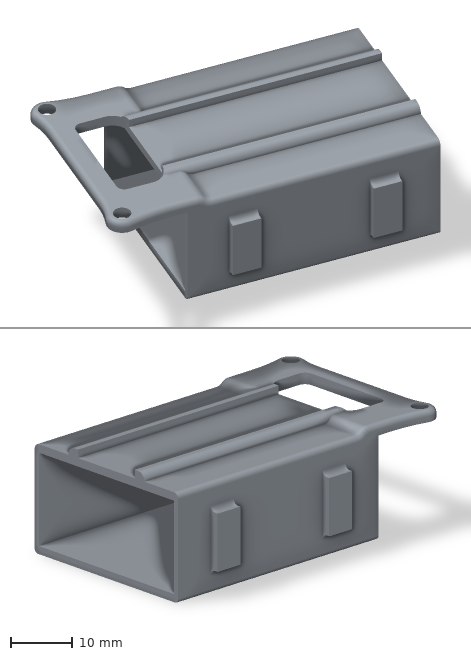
import cadquery as cq
import math

length = 58.5
sleeve_length = 45.0
sleeve_front = length - sleeve_length
sleeve_half_width = 16.95
side_wall = 1.0
floor_thickness = 1.4
roof_thickness = 1.45
bottom_radius = 0.7

total_height = 20.5
rail_height = 1.45
roof_top = total_height - rail_height
flange_top = 20.0
flange_thickness = 2.0
flange_underside = flange_top - flange_thickness
top_edge_radius = 1.0

ramp_rear = 18.2
ramp_front = 15.6

flange_half_width = 17.95
ear_radius = 2.7
ear_x = flange_half_width - ear_radius
ear_y = ear_radius
ear_hole_diameter = 3.0
front_edge_y = 0.75
front_straight_half = 10.3
side_straight_front = 10.55

window_half_width = 9.65
window_front = 4.75
window_front_radius = 1.4

rail_inner = 6.7
rail_outer = 9.0
rail_front = 10.55

window_rear_radius = window_half_width - rail_inner

pad_half_span = 18.5
pad_length = 5.1
pad_front_positions = (20.95, 46.0)
pad_bottom = 3.05
pad_top = 15.1
pad_cove_radius = 1.0


def flare_radius(along, across):
    """Radius of the flare touching both a straight edge and an ear.

    along and across are the ear centre's offsets from the end of the straight edge.
    """
    return (along**2 + across**2 - ear_radius**2) / (2 * (ear_radius - across))


def ear_point(angle):
    return (ear_x + ear_radius * math.cos(angle), ear_y + ear_radius * math.sin(angle))


def half_plan():
    """Plan of the +X half, from the rear of the sleeve to the front edge of the flange."""
    side_radius = flare_radius(side_straight_front - ear_y, sleeve_half_width - ear_x)
    side_angle = math.atan2(side_straight_front - ear_y, sleeve_half_width + side_radius - ear_x)
    front_radius = flare_radius(ear_x - front_straight_half, ear_y - front_edge_y)
    front_angle = -math.pi / 2 - math.atan2(
        ear_x - front_straight_half, ear_y - front_edge_y + front_radius
    )
    ear_middle = (side_angle + front_angle) / 2
    return (
        cq.Workplane("XY")
        .moveTo(0, length)
        .lineTo(sleeve_half_width, length)
        .lineTo(sleeve_half_width, side_straight_front)
        .tangentArcPoint(ear_point(side_angle), relative=False)
        .threePointArc(ear_point(ear_middle), ear_point(front_angle))
        .tangentArcPoint((front_straight_half, front_edge_y), relative=False)
        .lineTo(0, front_edge_y)
        .close()
        .extrude(total_height)
    )


def side_profile():
    """Sleeve, ramp and flange as one solid, wider than the plan."""
    ramp_middle = ((ramp_rear + ramp_front) / 2, (roof_top + flange_top) / 2)
    return (
        cq.Workplane("YZ")
        .moveTo(sleeve_front, 0)
        .lineTo(length, 0)
        .lineTo(length, roof_top)
        .lineTo(ramp_rear, roof_top)
        .tangentArcPoint(ramp_middle, relative=False)
        .tangentArcPoint((ramp_front, flange_top), relative=False)
        .lineTo(0, flange_top)
        .lineTo(0, flange_underside)
        .lineTo(sleeve_front, flange_underside)
        .close()
        .extrude(2 * flange_half_width, both=True)
    )


def make_body():
    half = half_plan()
    plan = half.union(half.mirror("YZ")).clean()
    body = side_profile().intersect(plan)
    body = body.edges("|Y and <Z").fillet(bottom_radius)
    front_edge = cq.selectors.NearestToPointSelector((0, front_edge_y, flange_top))
    return body.edges(front_edge).fillet(top_edge_radius)


def make_rail():
    return (
        cq.Workplane("XZ", origin=(0, rail_front, 0))
        .moveTo(rail_inner, roof_top - roof_thickness / 2)
        .lineTo(rail_outer, roof_top - roof_thickness / 2)
        .lineTo(rail_outer, roof_top)
        .radiusArc((rail_outer - rail_height, total_height), -rail_height)
        .lineTo(rail_inner, total_height)
        .close()
        .extrude(rail_front - length)
    )


def make_roof_recess():
    """Space between the rails, down to the roof."""
    return cq.Workplane("XY", origin=(0, sleeve_front, roof_top)).box(
        2 * rail_inner, sleeve_length, rail_height, centered=(True, False, False)
    )


def make_pad(front):
    root_x = sleeve_half_width - side_wall / 2
    cove_x = sleeve_half_width + pad_cove_radius
    return (
        cq.Workplane("XZ", origin=(0, front, 0))
        .moveTo(root_x, pad_bottom)
        .lineTo(sleeve_half_width, pad_bottom)
        .radiusArc((cove_x, pad_bottom + pad_cove_radius), pad_cove_radius)
        .lineTo(pad_half_span, pad_bottom + pad_cove_radius)
        .lineTo(pad_half_span, pad_top - pad_cove_radius)
        .lineTo(cove_x, pad_top - pad_cove_radius)
        .radiusArc((sleeve_half_width, pad_top), pad_cove_radius)
        .lineTo(root_x, pad_top)
        .close()
        .extrude(-pad_length)
    )


def make_cavity():
    cavity_height = roof_top - roof_thickness - floor_thickness
    return cq.Workplane("XY", origin=(0, sleeve_front, floor_thickness)).box(
        2 * (sleeve_half_width - side_wall), sleeve_length, cavity_height,
        centered=(True, False, False),
    )


def make_window():
    window = cq.Workplane("XY", origin=(0, window_front, flange_underside)).box(
        2 * window_half_width, sleeve_front - window_front, total_height - flange_underside,
        centered=(True, False, False),
    )
    window = window.edges("|Z and <Y").fillet(window_front_radius)
    return window.edges("|Z and >Y").fillet(window_rear_radius)


def make_ear_holes():
    return (
        cq.Workplane("XY", origin=(0, ear_y, flange_underside))
        .pushPoints([(-ear_x, 0), (ear_x, 0)])
        .circle(ear_hole_diameter / 2)
        .extrude(flange_thickness)
    )


result = make_body().cut(make_roof_recess())
side_parts = [make_rail()]
for pad_front in pad_front_positions:
    side_parts.append(make_pad(pad_front))
for part in side_parts:
    result = result.union(part).union(part.mirror("YZ"))
result = result.cut(make_cavity()).cut(make_window()).cut(make_ear_holes())